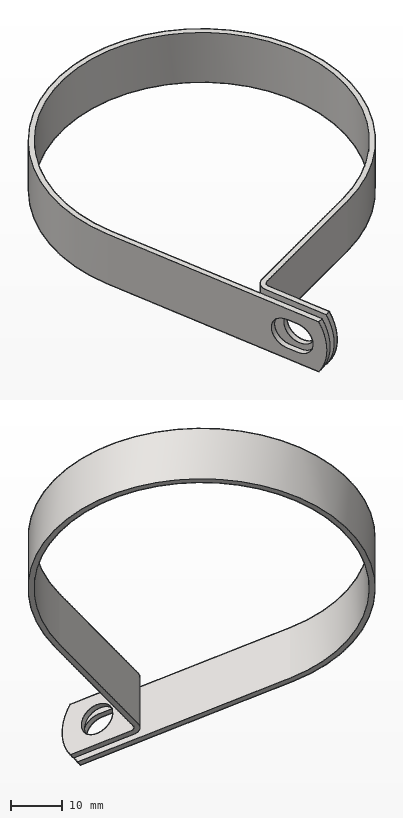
import cadquery as cq
import math

length = 84.5
loop_diameter = 67.5
width = 12.7
thickness = 1.2
ear_gap = 1.4
bend_inner_radius = 1.1
hole_diameter = 7.2
slot_length = 9.6
hole_end_distance = 8.0
end_arc_height = 1.9

outer_radius = loop_diameter / 2
inner_radius = outer_radius - thickness
bend_outer_radius = bend_inner_radius + thickness
end_x = length - outer_radius
hole_x = end_x - hole_end_distance
ear_outer_y = -inner_radius + ear_gap
ear_inner_y = ear_outer_y + thickness
bend_x = outer_radius + bend_inner_radius
bend_y = ear_inner_y + bend_inner_radius
diagonal = math.sqrt(0.5)


def strap():
    """Bent strip: long ear, three-quarter loop, straight leg and short ear."""
    return (
        cq.Workplane("XY")
        .workplane(offset=-width / 2)
        .moveTo(end_x, -outer_radius)
        .lineTo(0, -outer_radius)
        .threePointArc((-outer_radius * diagonal, outer_radius * diagonal), (outer_radius, 0))
        .lineTo(outer_radius, bend_y)
        .threePointArc(
            (bend_x - bend_inner_radius * diagonal, bend_y - bend_inner_radius * diagonal),
            (bend_x, ear_inner_y),
        )
        .lineTo(end_x, ear_inner_y)
        .lineTo(end_x, ear_outer_y)
        .lineTo(bend_x, ear_outer_y)
        .threePointArc(
            (bend_x - bend_outer_radius * diagonal, bend_y - bend_outer_radius * diagonal),
            (inner_radius, bend_y),
        )
        .lineTo(inner_radius, 0)
        .threePointArc((-inner_radius * diagonal, inner_radius * diagonal), (0, -inner_radius))
        .lineTo(end_x, -inner_radius)
        .close()
        .extrude(width)
    )


def rounded_end_envelope():
    """Block around the whole strap whose +X end is a shallow arc."""
    shoulder_x = end_x - end_arc_height
    return (
        cq.Workplane("XZ")
        .moveTo(-outer_radius, -width / 2)
        .lineTo(shoulder_x, -width / 2)
        .threePointArc((end_x, 0), (shoulder_x, width / 2))
        .lineTo(-outer_radius, width / 2)
        .close()
        .extrude(outer_radius, both=True)
    )


ear_slot = (
    cq.Workplane("XZ", origin=(hole_x, -inner_radius, 0))
    .slot2D(slot_length, hole_diameter)
    .extrude(thickness)
)

ear_hole = (
    cq.Workplane("XZ", origin=(hole_x, ear_inner_y, 0))
    .circle(hole_diameter / 2)
    .extrude(thickness)
)

result = strap().intersect(rounded_end_envelope()).cut(ear_slot).cut(ear_hole)